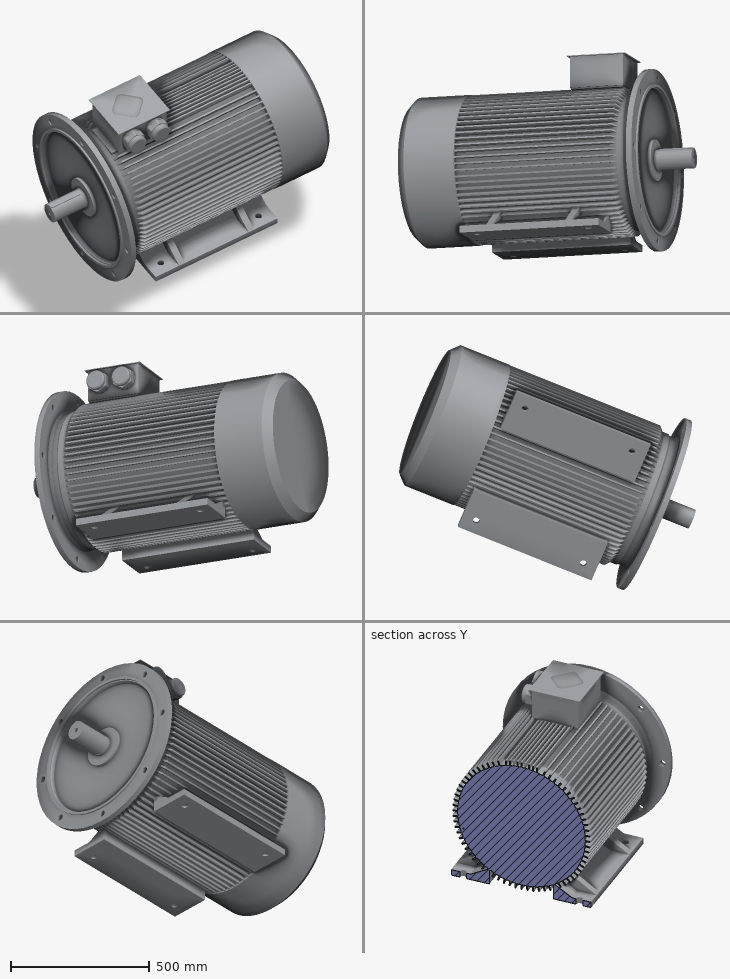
import cadquery as cq
import math


SPIGOT_Y = 132.0
FLANGE_FRONT_Y = 138.0
FLANGE_BACK_Y = 159.0
BODY_START_Y = 218.0
HOOD_START_Y = 826
HOOD_END_Y = 1045

SHAFT_DIA = 73
COLLAR_DIA = 75.0
CENTRE_HOLE_DIA = 18.0
CENTRE_HOLE_DEPTH = 31
KEY_WIDTH = 21
KEY_TOP_Z = 39.0
KEY_SINK = 16.0

FLANGE_DIA = 660.0
SPIGOT_DIA = 550.0
RECESS_RIM_DIA = 530.0
RECESS_LEDGE_DIA = 524.0
RECESS_FLOOR_DIA = 511.0
RECESS_LEDGE_DEPTH = 8.0
RECESS_DEPTH = 22.0
BOSS_DIA = 150.0
BOSS_HEIGHT = 13.0
BOLT_CIRCLE_DIA = 600.0
BOLT_HOLE_DIA = 24.0
BOLT_COUNT = 8

SHIELD_DIA = 508.0
SHIELD_NECK_DIA = 500.0
SHIELD_FLARE_DIA = 514.0
NECK_START_Y = 169.0
NECK_END_Y = 190.0
SHIELD_RIM_Y = 195.0

ROOT_DIA = 505.0
ROOT_RADIUS = ROOT_DIA / 2
FIN_RADIUS = 272
FIN_THICKNESS = 6.0
FIN_ANGLE = 5
FIN_BEVEL = 17.0
FIN_EMBED = 10
BARE_TOP_ANGLE = 15

TOP_FIN_COUNT = 9
TOP_FIN_SPAN = 121.0
TOP_FIN_PITCH = TOP_FIN_SPAN / (TOP_FIN_COUNT - 1)
TOP_FIN_THICKNESS = 5.0
TOP_FIN_FRONT_Y = 442.0
TOP_FIN_SLOPE = 16.0

HOOD_DIA = 547.0
HOOD_CHAMFER = 30.0

FOOT_HALF_WIDTH = 276.0
FOOT_INNER_X = 125
FOOT_BOTTOM_Z = -280.0
FOOT_TOP_Z = -255.0
FOOT_START_Y = 278.0
FOOT_END_Y = 802.0
FOOT_WEB_X = 200.0
FOOT_SLOPE = math.tan(math.radians(30))
RIB_SLOPE = 0.63
RIB_WIDTH = 25.0
RIB_CENTRES_Y = (391.0, 689.0)
FOOT_HOLE_DIA = 24.0
FOOT_HOLE_X = 229.0
FOOT_HOLE_SPACING_Y = 419.0

BOX_CENTRE_Y = 342.0
BOX_WIDTH = 182.0
BOX_LENGTH = 201.0
BOX_BOTTOM_Z = 266.0
LID_WIDTH = 201.0
LID_LENGTH = 219
LID_THICKNESS = 3.0
LID_TOP_Z = 384.0
BASE_INSET = 3.0
BASE_BOTTOM_Z = 260.0
PAD_LENGTH = 132.0
PLATFORM_WIDTH = 132.0
PLATFORM_TOP_Z = 255.0
PLATFORM_BOTTOM_Z = 230
PLATFORM_START_Y = 224.0
PLATFORM_END_Y = 449
BADGE_SIDE = 100.0
BADGE_CORNER_RADIUS = 20.0
BADGE_CENTRE_Y = 334
BADGE_DEPTH = 3.0
BADGE_TAPER = 45

GLAND_SPACING_Y = 100.0
GLAND_Z = 325.0
GLAND_WASHER_DIA = 75.0
GLAND_WASHER_END_X = 98.0
GLAND_HEX_FLATS = 72.0
GLAND_HEX_CORNER_DIA = 80.0
GLAND_HEX_END_X = 123.0
GLAND_CAP_DIA = 70.0
GLAND_CAP_END_X = 142.0
GLAND_CAP_CHAMFER = 4.0


def revolve_about_shaft(outline):
    """Turn an outline of (radius, y) points about the shaft axis."""
    return cq.Workplane("XY").polyline(outline).close().revolve(360, (0, 0, 0), (0, 1, 0))


def box_between(x_range, y_range, z_range):
    """Box given by its lower and upper limits on each axis."""
    sizes = [high - low for low, high in (x_range, y_range, z_range)]
    return cq.Workplane("XY").box(*sizes, centered=False).translate((x_range[0], y_range[0], z_range[0]))


def extrude_along_y(outline, start_y, end_y):
    """Extrude an outline of (x, z) points from start_y to end_y."""
    plane = cq.Workplane("XZ", origin=(0, start_y, 0))
    return plane.polyline(outline).close().extrude(start_y - end_y)


def make_core():
    """Round core: shaft, recessed flange, end shield, fin root cylinder and fan hood."""
    recess_floor_y = SPIGOT_Y + RECESS_DEPTH
    ledge_y = SPIGOT_Y + RECESS_LEDGE_DEPTH
    boss_y = recess_floor_y - BOSS_HEIGHT
    outline = [
        (0, 0),
        (SHAFT_DIA / 2, 0),
        (SHAFT_DIA / 2, SPIGOT_Y),
        (COLLAR_DIA / 2, SPIGOT_Y),
        (COLLAR_DIA / 2, boss_y),
        (BOSS_DIA / 2, boss_y),
        (BOSS_DIA / 2, recess_floor_y),
        (RECESS_FLOOR_DIA / 2, recess_floor_y),
        (RECESS_LEDGE_DIA / 2, ledge_y),
        (RECESS_RIM_DIA / 2, ledge_y),
        (RECESS_RIM_DIA / 2, SPIGOT_Y),
        (SPIGOT_DIA / 2, SPIGOT_Y),
        (SPIGOT_DIA / 2, FLANGE_FRONT_Y),
        (FLANGE_DIA / 2, FLANGE_FRONT_Y),
        (FLANGE_DIA / 2, FLANGE_BACK_Y),
        (SHIELD_FLARE_DIA / 2, FLANGE_BACK_Y),
        (SHIELD_NECK_DIA / 2, NECK_START_Y),
        (SHIELD_NECK_DIA / 2, NECK_END_Y),
        (SHIELD_DIA / 2, SHIELD_RIM_Y),
        (SHIELD_DIA / 2, BODY_START_Y),
        (ROOT_RADIUS, BODY_START_Y),
        (ROOT_RADIUS, HOOD_START_Y),
        (HOOD_DIA / 2, HOOD_START_Y),
        (HOOD_DIA / 2, HOOD_END_Y - HOOD_CHAMFER),
        (HOOD_DIA / 2 - HOOD_CHAMFER, HOOD_END_Y),
        (0, HOOD_END_Y),
    ]
    return revolve_about_shaft(outline)


def make_key():
    """Round-ended key along the top of the shaft."""
    bottom_z = SHAFT_DIA / 2 - KEY_SINK
    return (
        cq.Workplane("XY", origin=(0, SPIGOT_Y / 2, bottom_z))
        .slot2D(SPIGOT_Y, KEY_WIDTH, 90)
        .extrude(KEY_TOP_Z - bottom_z)
    )


def make_radial_fins():
    """Radial cooling fins, left out around the top of the body."""
    inner_radius = ROOT_RADIUS - FIN_EMBED
    side = [
        (inner_radius, BODY_START_Y),
        (ROOT_RADIUS, BODY_START_Y),
        (FIN_RADIUS, BODY_START_Y + FIN_BEVEL),
        (FIN_RADIUS, HOOD_START_Y),
        (inner_radius, HOOD_START_Y),
    ]
    fin = cq.Workplane("XY").polyline(side).close().extrude(FIN_THICKNESS / 2, both=True)
    fins = []
    for angle_from_top in range(BARE_TOP_ANGLE + FIN_ANGLE, 360 - BARE_TOP_ANGLE, FIN_ANGLE):
        fins.append(fin.rotate((0, 0, 0), (0, 1, 0), angle_from_top - 90))
    return fins


def make_top_fins():
    """Parallel upright fins whose tops follow the round outline of the body."""
    base_z = ROOT_RADIUS - 2 * FIN_EMBED
    side = [
        (TOP_FIN_FRONT_Y, base_z),
        (TOP_FIN_FRONT_Y, PLATFORM_TOP_Z),
        (TOP_FIN_FRONT_Y + TOP_FIN_SLOPE, FIN_RADIUS),
        (HOOD_START_Y, FIN_RADIUS),
        (HOOD_START_Y, base_z),
    ]
    fin = cq.Workplane("YZ").polyline(side).close().extrude(TOP_FIN_THICKNESS / 2, both=True)
    envelope = cq.Workplane("XZ").circle(FIN_RADIUS).extrude(-HOOD_END_Y)
    fins = []
    for index in range(TOP_FIN_COUNT):
        x = index * TOP_FIN_PITCH - TOP_FIN_SPAN / 2
        fins.append(fin.translate((x, 0, 0)).intersect(envelope))
    return fins


def make_foot():
    """Foot on the +X side: base plate with a sloped web, two ribs and two bolt holes."""
    web_top_z = FOOT_TOP_Z + (FOOT_WEB_X - FOOT_INNER_X) * FOOT_SLOPE
    plate = [
        (FOOT_INNER_X, FOOT_BOTTOM_Z),
        (FOOT_HALF_WIDTH, FOOT_BOTTOM_Z),
        (FOOT_HALF_WIDTH, FOOT_TOP_Z),
        (FOOT_WEB_X, FOOT_TOP_Z),
        (FOOT_INNER_X, web_top_z),
    ]
    foot = extrude_along_y(plate, FOOT_START_Y, FOOT_END_Y)
    rib_top_z = FOOT_TOP_Z + (FOOT_HALF_WIDTH - FOOT_INNER_X) * RIB_SLOPE
    rib = [(FOOT_INNER_X, FOOT_TOP_Z), (FOOT_HALF_WIDTH, FOOT_TOP_Z), (FOOT_INNER_X, rib_top_z)]
    for y in RIB_CENTRES_Y:
        foot = foot.union(extrude_along_y(rib, y - RIB_WIDTH / 2, y + RIB_WIDTH / 2))
    foot_centre_y = (FOOT_START_Y + FOOT_END_Y) / 2
    holes = (
        cq.Workplane("XY", origin=(FOOT_HOLE_X, foot_centre_y, FOOT_BOTTOM_Z))
        .rarray(10, FOOT_HOLE_SPACING_Y, 1, 2)
        .circle(FOOT_HOLE_DIA / 2)
        .extrude(FOOT_TOP_Z - FOOT_BOTTOM_Z)
    )
    return foot.cut(holes)


def centred_block(width, length, bottom_z, top_z):
    """Block centred on the terminal box."""
    plane = cq.Workplane("XY", origin=(0, BOX_CENTRE_Y, bottom_z))
    return plane.rect(width, length).extrude(top_z - bottom_z)


def make_terminal_box():
    """Terminal box on its platform, with a lid that carries a sunken diamond badge field."""
    lid_bottom_z = LID_TOP_Z - LID_THICKNESS
    base_width = BOX_WIDTH - 2 * BASE_INSET
    base_length = BOX_LENGTH - 2 * BASE_INSET
    half_platform = PLATFORM_WIDTH / 2
    platform = box_between(
        (-half_platform, half_platform),
        (PLATFORM_START_Y, PLATFORM_END_Y),
        (PLATFORM_BOTTOM_Z, PLATFORM_TOP_Z),
    )
    pad = centred_block(PLATFORM_WIDTH, PAD_LENGTH, PLATFORM_TOP_Z, BASE_BOTTOM_Z)
    base = centred_block(base_width, base_length, BASE_BOTTOM_Z, BOX_BOTTOM_Z)
    housing = centred_block(BOX_WIDTH, BOX_LENGTH, BOX_BOTTOM_Z, lid_bottom_z)
    lid = centred_block(LID_WIDTH, LID_LENGTH, lid_bottom_z, LID_TOP_Z)
    badge_outline = cq.Sketch().rect(BADGE_SIDE, BADGE_SIDE).vertices().fillet(BADGE_CORNER_RADIUS)
    badge = (
        cq.Workplane("XY")
        .placeSketch(badge_outline)
        .extrude(-BADGE_DEPTH, taper=BADGE_TAPER)
        .rotate((0, 0, 0), (0, 0, 1), 45)
        .translate((0, BADGE_CENTRE_Y, LID_TOP_Z))
    )
    return platform.union(pad).union(base).union(housing).union(lid).cut(badge)


def make_gland(centre_y):
    """Cable gland pointing along +X: washer, hexagon with trimmed corners and round cap."""
    def plane_at(x):
        return cq.Workplane("YZ", origin=(x, centre_y, GLAND_Z))

    box_side_x = BOX_WIDTH / 2
    hex_length = GLAND_HEX_END_X - GLAND_WASHER_END_X
    hex_corner_dia = GLAND_HEX_FLATS / math.cos(math.radians(30))
    washer = plane_at(box_side_x).circle(GLAND_WASHER_DIA / 2).extrude(GLAND_WASHER_END_X - box_side_x)
    trim = plane_at(GLAND_WASHER_END_X).circle(GLAND_HEX_CORNER_DIA / 2).extrude(hex_length)
    hexagon = (
        plane_at(GLAND_WASHER_END_X)
        .transformed(rotate=(0, 0, 90))
        .polygon(6, hex_corner_dia)
        .extrude(hex_length)
        .intersect(trim)
    )
    cap = (
        plane_at(GLAND_HEX_END_X)
        .circle(GLAND_CAP_DIA / 2)
        .extrude(GLAND_CAP_END_X - GLAND_HEX_END_X)
        .faces(">X")
        .chamfer(GLAND_CAP_CHAMFER)
    )
    return washer.union(hexagon).union(cap)


def make_flange_holes():
    """Bolt holes around the mounting flange."""
    return (
        cq.Workplane("XZ", origin=(0, FLANGE_FRONT_Y, 0))
        .polarArray(BOLT_CIRCLE_DIA / 2, 0, 360, BOLT_COUNT)
        .circle(BOLT_HOLE_DIA / 2)
        .extrude(FLANGE_FRONT_Y - FLANGE_BACK_Y)
    )


def make_centre_hole():
    """Blind centre hole in the shaft tip."""
    return cq.Workplane("XZ").circle(CENTRE_HOLE_DIA / 2).extrude(-CENTRE_HOLE_DEPTH)


foot = make_foot()
attachments = [make_key(), foot, foot.mirror("YZ"), make_terminal_box()]
for side in (-1, 1):
    attachments.append(make_gland(BOX_CENTRE_Y + side * GLAND_SPACING_Y / 2))

motor = make_core()
for piece in make_radial_fins() + make_top_fins() + attachments:
    motor = motor.union(piece, clean=False)
result = motor.cut(make_flange_holes()).cut(make_centre_hole())